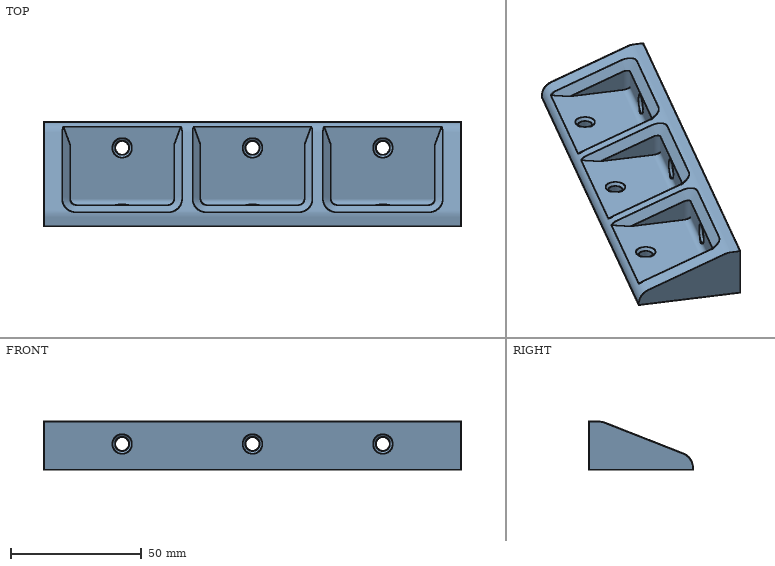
import cadquery as cq

length = 160
width = 40
height = 18.5

flat_top_width = 5.0
low_edge_height = 4.8
section_round = 6.0
slope_fall = (height - low_edge_height) / (width - flat_top_width)

pocket_count = 3
end_margin = 7.0
rib_width = 4.0
mouth_chamfer = 3.0
mouth_width = (length - 2 * end_margin - (pocket_count - 1) * rib_width) / pocket_count
pocket_width = mouth_width - 2 * mouth_chamfer
pocket_pitch = mouth_width + rib_width
back_wall = 8.2
floor_height = 5.0
pocket_round = 2.4

hole_diameter = 5.3
countersink_diameter = 7.5
countersink_depth = (countersink_diameter - hole_diameter) / 2
floor_hole_y = 30.0
wall_hole_z = 10.0

overrun = 8


def slope_height(y):
    """Height of the sloped plane at depth y."""
    return height - slope_fall * (y - flat_top_width)


def make_block():
    """Wedge section extruded along X, with both ends of the slope rounded."""
    section = [(0, 0), (width, 0), (width, low_edge_height), (flat_top_width, height), (0, height)]
    block = cq.Workplane("YZ").polyline(section).close().extrude(length)
    for y, z in [(width, low_edge_height), (flat_top_width, height)]:
        edge = cq.selectors.NearestToPointSelector((length / 2, y, z))
        block = block.edges(edge).fillet(section_round)
    return block


def make_well(bottom):
    """Straight-sided pocket volume above the given height, running out past the +Y side."""
    return (
        cq.Workplane("XY", origin=(0, back_wall, bottom))
        .box(pocket_width, width, 2 * height, centered=(True, False, False))
    )


def make_mouth():
    """Chamfered rim of a pocket, following the slope until it meets the floor."""
    skin = 2 * mouth_chamfer
    y_start = flat_top_width - overrun
    y_end = width + overrun
    z_start = slope_height(y_start)
    z_end = slope_height(y_end)
    section = [(y_start, z_start), (y_end, z_end), (y_end, z_end - skin), (y_start, z_start - skin)]
    slab = cq.Workplane("YZ").polyline(section).close().extrude(mouth_width, both=True)

    well = make_well(-overrun).edges("<Y and |Z").fillet(pocket_round)
    back_rim = cq.selectors.NearestToPointSelector((0, back_wall, slope_height(back_wall)))
    frame = slab.cut(well).edges(back_rim).chamfer(mouth_chamfer)

    above_floor = (
        cq.Workplane("XY", origin=(0, 0, floor_height))
        .box(2 * mouth_width, 4 * width, 2 * height, centered=(True, True, False))
    )
    return slab.cut(frame).intersect(above_floor)


def make_pocket():
    """Pocket cutter centred on X = 0, rounded along its back corners and the foot of its back wall."""
    well = make_well(floor_height).edges("<Y and (|Z or <Z)").fillet(pocket_round)
    return well.union(make_mouth())


def make_screw_hole(reach):
    """Hole cutter running along +Z from the origin, countersunk at the origin."""
    cone = cq.Solid.makeCone(countersink_diameter / 2, hole_diameter / 2, countersink_depth)
    return cq.Workplane("XY").circle(hole_diameter / 2).extrude(reach).union(cq.Workplane(cone))


def make_floor_hole():
    """Hole down through the pocket floor, countersunk from the pocket side."""
    hole = make_screw_hole(floor_height + overrun)
    return hole.rotate((0, 0, 0), (1, 0, 0), 180).translate((0, floor_hole_y, floor_height))


def make_wall_hole():
    """Hole through the back wall, countersunk on the -Y face and again where it enters the pocket."""
    outer = make_screw_hole(back_wall + overrun).rotate((0, 0, 0), (1, 0, 0), -90)
    inner = make_screw_hole(back_wall).rotate((0, 0, 0), (1, 0, 0), 90).translate((0, back_wall, 0))
    clearance = (
        cq.Workplane("XZ", origin=(0, back_wall, 0))
        .circle(countersink_diameter / 2)
        .extrude(-pocket_round)
    )
    return outer.union(inner).union(clearance).translate((0, 0, wall_hole_z))


cutters = [make_pocket(), make_floor_hole(), make_wall_hole()]

result = make_block()
for index in range(pocket_count):
    center_x = end_margin + mouth_width / 2 + index * pocket_pitch
    for cutter in cutters:
        result = result.cut(cutter.translate((center_x, 0, 0)))